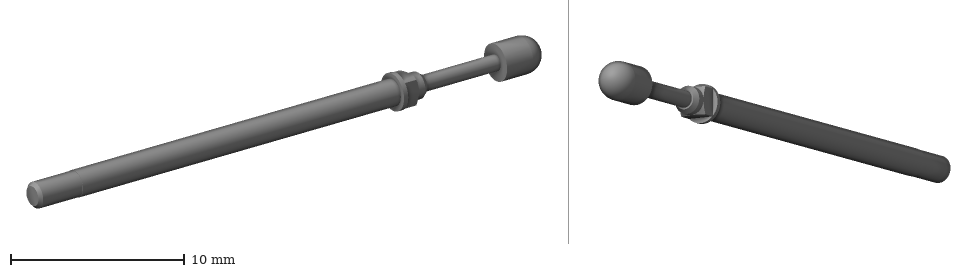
import cadquery as cq
import math


head_diameter = 2.3
head_length = 3.0
stem_diameter = 1.0
tip_to_collar = 10.0

barrel_diameter = 1.65
overall_length = 35.8
collar_diameter = 2.3
collar_thickness = 0.3

mouth_length = 1.75
mouth_chamfer_length = 0.3
mouth_opening_diameter = 1.2
square_width = barrel_diameter
square_length = 1.0
square_lead_in_length = 0.2

tail_length = 3.0
tail_diameter = 1.6
tail_chamfer = 0.2

tip_y = tip_to_collar
head_base_y = tip_y - head_length
tail_end_y = tip_y - overall_length
tail_start_y = tail_end_y + tail_length


def cylinder_along_y(diameter, start_y, end_y):
    """Solid cylinder on the Y axis between two stations."""
    base = cq.Workplane("XZ", origin=(0, start_y, 0))
    return base.circle(diameter / 2).extrude(start_y - end_y)


def make_head():
    """Cylindrical head closed by a hemispherical dome."""
    radius = head_diameter / 2
    dome_base_y = tip_y - radius
    dome_mid_offset = radius * math.sqrt(0.5)
    return (
        cq.Workplane("XY", origin=(0, head_base_y, 0))
        .lineTo(radius, 0)
        .lineTo(radius, dome_base_y - head_base_y)
        .threePointArc(
            (dome_mid_offset, dome_base_y + dome_mid_offset - head_base_y),
            (0, head_length),
        )
        .close()
        .revolve(360, (0, 0, 0), (0, 1, 0))
    )


def make_mouth():
    """Round barrel mouth, tapered where the stem leaves it."""
    taper_start_y = mouth_length - mouth_chamfer_length
    return (
        cq.Workplane("XY")
        .lineTo(barrel_diameter / 2, 0)
        .lineTo(barrel_diameter / 2, taper_start_y)
        .lineTo(mouth_opening_diameter / 2, mouth_length)
        .lineTo(0, mouth_length)
        .close()
        .revolve(360, (0, 0, 0), (0, 1, 0))
    )


def make_square():
    """Square section with a conical lead-in down to the barrel diameter."""
    block = cq.Workplane("XZ").rect(square_width, square_width).extrude(-square_length)
    turned_envelope = (
        cq.Workplane("XY")
        .lineTo(collar_diameter / 2, 0)
        .lineTo(collar_diameter / 2, square_length - square_lead_in_length)
        .lineTo(barrel_diameter / 2, square_length)
        .lineTo(0, square_length)
        .close()
        .revolve(360, (0, 0, 0), (0, 1, 0))
    )
    return block.intersect(turned_envelope)


def make_tail():
    """Tail length of the barrel with a chamfered end."""
    tail = cylinder_along_y(tail_diameter, tail_end_y, tail_start_y)
    return tail.faces("<Y").chamfer(tail_chamfer)


stem = cylinder_along_y(stem_diameter, 0, head_base_y)
collar = cylinder_along_y(collar_diameter, -collar_thickness, 0)
barrel = cylinder_along_y(barrel_diameter, tail_start_y, 0)

result = barrel.union(make_tail()).union(collar).union(make_square())
result = result.union(make_mouth()).union(stem).union(make_head())